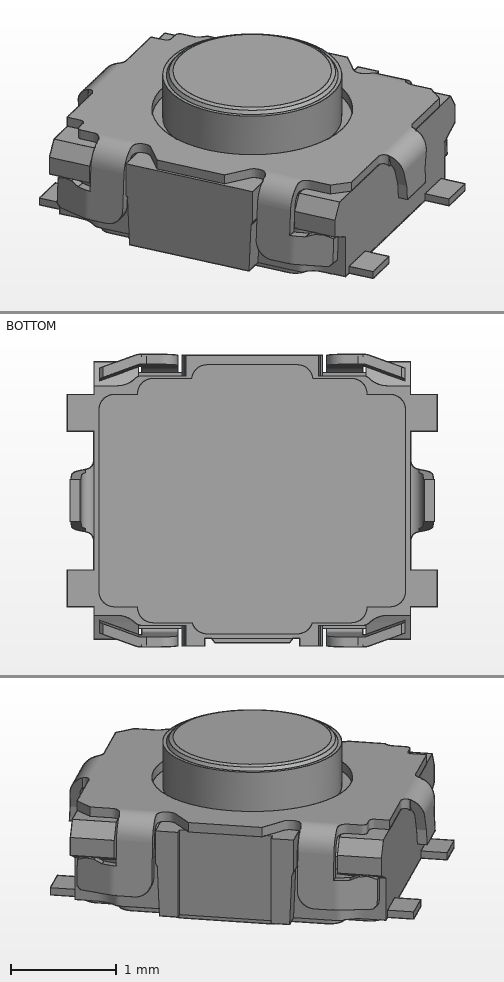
import cadquery as cq
import math

OVERALL_LENGTH = 3.5
PICK_MARGIN = 0.005

BODY_BOTTOM = 0.05
BODY_TOP = 0.903
COVER_TOP = 0.998
BUTTON_TOP = 1.4
SHEET = COVER_TOP - BODY_TOP

BODY_HALF_LENGTH = 1.498
END_HALF_WIDTH = 1.312
BEVEL_HALF_WIDTH = 1.21
BEVEL_BOTTOM = 0.755
OVERHANG_BOTTOM = 0.578
POCKET_TOP = 0.508
POCKET_SHOULDER = 0.472
POCKET_TOP_HALF_WIDTH = 1.155
POCKET_HALF_WIDTH = 1.085
MID_WALL_HALF_WIDTH = 1.18
WALL_CURVE_START = 1.045
WALL_CURVE_JOIN = 1.105
WALL_CURVE_END = 1.278
CHANNEL_OUTER = 1.075
CHANNEL_SHOULDER = 0.707
CENTER_HALF_WIDTH = 1.375
CENTER_HALF_LENGTH = 0.665
CENTER_STEP_HALF_LENGTH = 0.648
CENTER_STEP_BOTTOM = 0.542
CENTER_FOOT_HALF_LENGTH = 0.625
NOTCH_HALF_LENGTH = 0.448
NOTCH_FACE = 1.302

BASE_STEPS = [
    (1.45, 1.005, 1.005),
    (1.085, 1.155, 1.155),
    (0.575, 1.285, 1.26),
]
BASE_CORNER = 0.147

TERMINAL_THICKNESS = 0.075
TERMINAL_WIDTH = 0.35
TERMINAL_OFFSET = 0.83

COVER_HALF_WIDTH = 1.1
COVER_LEFT = -1.312
COVER_RIGHT = 1.348
LIP_END = 1.5
LEFT_LIP_HALF_WIDTH = 0.917
RIGHT_LIP_HALF_WIDTH = 0.96
COVER_CORNER = 0.05
TONGUE_TIP_HALF_LENGTH = 0.355
TONGUE_TIP = 1.345
TONGUE_ROOT_HALF_LENGTH = 0.545
TONGUE_BASE_HALF_LENGTH = 0.63
TONGUE_ROOT_RADIUS = 0.088
COVER_HOLE_RADIUS = 0.95

ARM_INNER = 0.7
ARM_OUTER = 1.045
ARM_BEND = 0.245
ARM_SPLAY = 4.3
ARM_BOTTOM = 0.228
ARM_CORNER = 0.168
ARM_FLARE = 0.095
WING_BEND_START = 1.057
WING_BEND_END = 1.105
WING_END = 1.445
WING_ANGLE = 20.0
WING_TOP = 0.518
WING_CREST = 0.55
WING_CORNER = 0.035

TAB_ROOT = 1.51
TAB_BEND = 0.2
TAB_SPLAY = 3.0
TAB_BOTTOM = 0.508
TAB_TOP_HALF_WIDTH = 0.298
TAB_TIP_HALF_WIDTH = 0.2
TAB_TAPER_BOTTOM = 0.65
TAB_FLARE = 0.077

BUTTON_RADIUS = 0.847
BUTTON_RIM_HEIGHT = 1.355
BUTTON_CROWN_RADIUS = 0.812
BUTTON_SHOULDER_RADIUS = 0.788
BUTTON_SHOULDER_HEIGHT = 1.385
BUTTON_FACE_RADIUS = 0.75


def box(x0, x1, y0, y1, z0, z1):
    """Axis-aligned block between two corners."""
    return cq.Workplane("XY").box(x1 - x0, y1 - y0, z1 - z0, centered=False).translate((x0, y0, z0))


def prism_xy(points, z0, z1):
    """Plan outline raised from z0 to z1."""
    return cq.Workplane("XY").workplane(offset=z0).polyline(points).close().extrude(z1 - z0)


def prism_yz(points, x0, x1):
    """Cross-section in Y and Z swept from x0 to x1."""
    return cq.Workplane("YZ").workplane(offset=x0).polyline(points).close().extrude(x1 - x0)


def prism_xz(points, y0, y1):
    """Outline in X and Z swept from y0 to y1."""
    return cq.Workplane("XZ").workplane(offset=-y1).polyline(points).close().extrude(y1 - y0)


def mirrored(half):
    """Close a half outline by reflecting it about its second axis."""
    return half + [(-a, b) for a, b in reversed(half)]


def on_both_sides(solid, plane):
    """The solid together with its mirror image."""
    return solid.union(solid.mirror(plane))


def bent_strip(root, bend, splay, bottom, half_width):
    """Sheet strip along +Y: flat at the cover, bent down and leaning outward by the splay angle."""
    lean = math.radians(splay)

    def arc_point(radius, angle):
        return (root + radius * math.sin(angle), COVER_TOP - bend + radius * math.cos(angle))

    end_angle = math.pi / 2 - lean
    inner = bend - SHEET
    outer_end = arc_point(bend, end_angle)
    inner_end = arc_point(inner, end_angle)
    profile = (
        cq.Workplane("YZ").workplane(offset=-half_width)
        .moveTo(root - SHEET, COVER_TOP)
        .lineTo(root, COVER_TOP)
        .threePointArc(arc_point(bend, end_angle / 2), outer_end)
        .lineTo(outer_end[0] + (outer_end[1] - bottom) * math.tan(lean), bottom)
        .lineTo(inner_end[0] + (inner_end[1] - bottom) * math.tan(lean), bottom)
        .lineTo(*inner_end)
        .threePointArc(arc_point(inner, end_angle / 2), (root, BODY_TOP))
        .lineTo(root - SHEET, BODY_TOP)
        .close()
    )
    return profile.extrude(2 * half_width)


def flare(half_width, root, radius):
    """Root block of a strip along +Y, widened on both sides by concave quarter rounds."""
    wide = half_width + radius
    tip = root + radius
    diagonal = radius * (1 - math.sqrt(0.5))
    return (
        cq.Workplane("XY").workplane(offset=BODY_TOP - SHEET)
        .moveTo(-wide, root - SHEET)
        .lineTo(wide, root - SHEET)
        .lineTo(wide, root)
        .threePointArc((half_width + diagonal, root + diagonal), (half_width, tip))
        .lineTo(-half_width, tip)
        .threePointArc((-half_width - diagonal, root + diagonal), (-wide, root))
        .close()
        .extrude(COVER_TOP - BODY_TOP + SHEET)
    )


def make_body():
    section = mirrored([
        (POCKET_HALF_WIDTH, BODY_BOTTOM),
        (POCKET_HALF_WIDTH, POCKET_SHOULDER),
        (POCKET_TOP_HALF_WIDTH, POCKET_TOP),
        (END_HALF_WIDTH, OVERHANG_BOTTOM),
        (END_HALF_WIDTH, BEVEL_BOTTOM),
        (BEVEL_HALF_WIDTH, BODY_TOP),
    ])
    body = prism_yz(section, -BODY_HALF_LENGTH, BODY_HALF_LENGTH)

    clear = CENTER_HALF_WIDTH + SHEET
    channel = prism_yz([
        (COVER_HALF_WIDTH, BODY_TOP),
        (BEVEL_HALF_WIDTH, CHANNEL_SHOULDER),
        (BEVEL_HALF_WIDTH, OVERHANG_BOTTOM),
        (MID_WALL_HALF_WIDTH, OVERHANG_BOTTOM),
        (MID_WALL_HALF_WIDTH, BODY_BOTTOM),
        (clear, BODY_BOTTOM),
        (clear, BODY_TOP),
    ], -CHANNEL_OUTER, CHANNEL_OUTER)
    body = body.cut(on_both_sides(channel, "XZ"))

    run = WALL_CURVE_END - WALL_CURVE_START
    rise = MID_WALL_HALF_WIDTH - POCKET_HALF_WIDTH
    join_y = POCKET_HALF_WIDTH + rise * (WALL_CURVE_END - WALL_CURVE_JOIN) / run
    half_wall = (
        cq.Workplane("XY").workplane(offset=BODY_BOTTOM)
        .moveTo(0, 0)
        .lineTo(BODY_HALF_LENGTH, 0)
        .lineTo(BODY_HALF_LENGTH, POCKET_HALF_WIDTH)
        .lineTo(WALL_CURVE_END, POCKET_HALF_WIDTH)
        .tangentArcPoint((WALL_CURVE_JOIN, join_y), relative=False)
        .tangentArcPoint((WALL_CURVE_START, MID_WALL_HALF_WIDTH), relative=False)
        .lineTo(0, MID_WALL_HALF_WIDTH)
        .close()
        .extrude(OVERHANG_BOTTOM - BODY_BOTTOM)
    )
    wall = on_both_sides(half_wall, "YZ")
    body = body.union(on_both_sides(wall, "XZ"))

    center = prism_xz(mirrored([
        (CENTER_FOOT_HALF_LENGTH, BODY_BOTTOM),
        (CENTER_STEP_HALF_LENGTH, CENTER_STEP_BOTTOM),
        (CENTER_HALF_LENGTH, OVERHANG_BOTTOM),
        (CENTER_HALF_LENGTH, BODY_TOP),
    ]), -CENTER_HALF_WIDTH, CENTER_HALF_WIDTH)
    notch = box(-NOTCH_HALF_LENGTH, NOTCH_HALF_LENGTH, NOTCH_FACE, clear, 0, BODY_TOP)
    return body.union(center.cut(notch))


def make_base():
    base = cq.Workplane("XY")
    for half_length, reach_minus, reach_plus in BASE_STEPS:
        step = box(-half_length, half_length, -reach_minus, reach_plus, 0, BODY_BOTTOM)
        base = base.union(step.edges("|Z").fillet(BASE_CORNER))
    return base


def make_terminals():
    terminals = cq.Workplane("XY")
    half_length = OVERALL_LENGTH / 2
    for y in (-TERMINAL_OFFSET, TERMINAL_OFFSET):
        terminals = terminals.union(box(
            -half_length, half_length,
            y - TERMINAL_WIDTH / 2, y + TERMINAL_WIDTH / 2,
            BODY_BOTTOM, BODY_BOTTOM + TERMINAL_THICKNESS))
    return terminals


def make_cover_plate():
    main = box(COVER_LEFT, COVER_RIGHT, -COVER_HALF_WIDTH, COVER_HALF_WIDTH, BODY_TOP, COVER_TOP)
    main = main.edges("|Z and <X").fillet(COVER_CORNER)
    left_lip = box(-LIP_END, 0, -LEFT_LIP_HALF_WIDTH, LEFT_LIP_HALF_WIDTH, BODY_TOP, COVER_TOP)
    lip_corners = cq.selectors.BoxSelector(
        (COVER_LEFT - PICK_MARGIN, -LEFT_LIP_HALF_WIDTH - PICK_MARGIN, BODY_TOP),
        (COVER_LEFT + PICK_MARGIN, LEFT_LIP_HALF_WIDTH + PICK_MARGIN, COVER_TOP))
    main = main.union(left_lip).edges("|Z").edges(lip_corners).fillet(COVER_CORNER)
    right_lip = prism_xy([
        (COVER_RIGHT, -COVER_HALF_WIDTH),
        (LIP_END, -RIGHT_LIP_HALF_WIDTH),
        (LIP_END, RIGHT_LIP_HALF_WIDTH),
        (COVER_RIGHT, COVER_HALF_WIDTH),
    ], BODY_TOP, COVER_TOP)
    tongue = prism_xy(mirrored([
        (TONGUE_BASE_HALF_LENGTH, 0),
        (TONGUE_BASE_HALF_LENGTH, COVER_HALF_WIDTH),
        (TONGUE_ROOT_HALF_LENGTH, COVER_HALF_WIDTH),
        (TONGUE_TIP_HALF_LENGTH, TONGUE_TIP),
    ]), BODY_TOP, COVER_TOP)
    root_corners = cq.selectors.BoxSelector(
        (-TONGUE_ROOT_HALF_LENGTH - PICK_MARGIN, COVER_HALF_WIDTH - PICK_MARGIN, BODY_TOP),
        (TONGUE_ROOT_HALF_LENGTH + PICK_MARGIN, COVER_HALF_WIDTH + PICK_MARGIN, COVER_TOP))
    tongue = tongue.edges("|Z").edges(root_corners).fillet(TONGUE_ROOT_RADIUS)
    return main.union(right_lip).union(on_both_sides(tongue, "XZ"))


def make_arm():
    """Arm on the +X +Y quarter with its wing folded back toward the body."""
    center = (ARM_INNER + ARM_OUTER) / 2
    half_width = (ARM_OUTER - ARM_INNER) / 2
    strip = bent_strip(COVER_HALF_WIDTH, ARM_BEND, ARM_SPLAY, ARM_BOTTOM, half_width + ARM_FLARE)
    reach = 2 * CENTER_HALF_WIDTH
    straight = box(-half_width, half_width, 0, reach, ARM_BOTTOM, COVER_TOP)
    straight = straight.edges("|Y and <X and <Z").fillet(ARM_CORNER)
    arm = strip.intersect(straight.union(flare(half_width, COVER_HALF_WIDTH, ARM_FLARE)))
    arm = arm.translate((center, 0, 0))

    fold = math.radians(WING_ANGLE)
    outer_radius = (WING_BEND_END - WING_BEND_START) / math.sin(fold)
    inner_radius = outer_radius - SHEET

    def bend_point(radius, angle):
        return (WING_BEND_START + radius * math.sin(angle), radius * math.cos(angle) - outer_radius)

    def end_point(radius):
        x, y = bend_point(radius, fold)
        return (WING_END, y - (WING_END - x) * math.tan(fold))

    lean = math.radians(ARM_SPLAY)
    bend_end_y = COVER_HALF_WIDTH + ARM_BEND * math.cos(lean)
    bend_end_z = COVER_TOP - ARM_BEND * (1 - math.sin(lean))
    wing = (
        cq.Workplane("XY").workplane(offset=ARM_BOTTOM - bend_end_z)
        .moveTo(ARM_OUTER - SHEET / 2, 0)
        .lineTo(WING_BEND_START, 0)
        .threePointArc(bend_point(outer_radius, fold / 2), bend_point(outer_radius, fold))
        .lineTo(*end_point(outer_radius))
        .lineTo(*end_point(inner_radius))
        .lineTo(*bend_point(inner_radius, fold))
        .threePointArc(bend_point(inner_radius, fold / 2), bend_point(inner_radius, 0))
        .lineTo(ARM_OUTER - SHEET / 2, -SHEET)
        .close()
        .extrude(WING_CREST - ARM_BOTTOM)
    )
    hump = (WING_END - WING_BEND_END) / 4
    edge = prism_xz([
        (ARM_OUTER - SHEET, ARM_BOTTOM),
        (WING_END - WING_CORNER, ARM_BOTTOM),
        (WING_END, ARM_BOTTOM + WING_CORNER),
        (WING_END, WING_TOP),
        (WING_END - hump, WING_CREST),
        (WING_END - 2 * hump, WING_CREST),
        (WING_END - 3 * hump, WING_TOP),
        (ARM_OUTER - SHEET, WING_TOP),
    ], -reach, reach).translate((0, 0, -bend_end_z))
    wing = wing.intersect(edge)
    wing = wing.rotate((0, 0, 0), (1, 0, 0), ARM_SPLAY).translate((0, bend_end_y, bend_end_z))
    return arm.union(wing)


def make_tab():
    """Tapered retaining tab, built along +Y and turned to the +X end."""
    tip_wide = TAB_TOP_HALF_WIDTH + TAB_FLARE
    strip = bent_strip(TAB_ROOT, TAB_BEND, TAB_SPLAY, TAB_BOTTOM, tip_wide)
    taper = prism_xz(mirrored([
        (TAB_TIP_HALF_WIDTH, TAB_BOTTOM),
        (TAB_TIP_HALF_WIDTH, TAB_TAPER_BOTTOM),
        (TAB_TOP_HALF_WIDTH, COVER_TOP),
    ]), 0, OVERALL_LENGTH)
    tab = strip.intersect(taper.union(flare(TAB_TOP_HALF_WIDTH, LIP_END, TAB_FLARE)))
    return tab.rotate((0, 0, 0), (0, 0, 1), -90)


def make_cover():
    arms = on_both_sides(on_both_sides(make_arm(), "XZ"), "YZ")
    tabs = on_both_sides(make_tab(), "YZ")
    cover = make_cover_plate().union(arms).union(tabs)
    hole = cq.Workplane("XY").workplane(offset=BODY_TOP).circle(COVER_HOLE_RADIUS).extrude(SHEET)
    return cover.cut(hole)


def make_button():
    section = [
        (0, BODY_BOTTOM),
        (BUTTON_RADIUS, BODY_BOTTOM),
        (BUTTON_RADIUS, BUTTON_RIM_HEIGHT),
        (BUTTON_CROWN_RADIUS, BUTTON_RIM_HEIGHT),
        (BUTTON_SHOULDER_RADIUS, BUTTON_SHOULDER_HEIGHT),
        (BUTTON_FACE_RADIUS, BUTTON_TOP),
        (0, BUTTON_TOP),
    ]
    return cq.Workplane("XZ").polyline(section).close().revolve(360, (0, 0, 0), (0, 1, 0))


result = (
    make_body()
    .union(make_base())
    .union(make_terminals())
    .union(make_cover())
    .union(make_button())
)